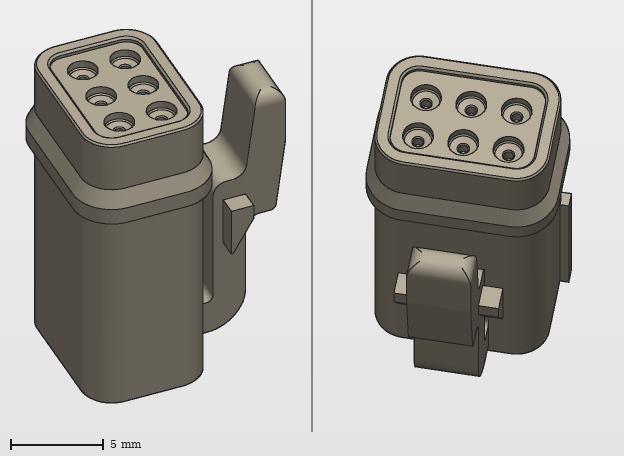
import cadquery as cq
import math

HEIGHT = 17.7
OVERALL_Y = 13.1
BODY_X = 9.6
BODY_Y = 7.06
BODY_RADIUS = 1.8
END_CHAMFER = 0.1

COLLAR_OVERHANG = 0.48
COLLAR_BOTTOM = 12.7
COLLAR_STRAIGHT = 1.0
COLLAR_TAPER = 1.0

RIM_WALL = 0.7
RECESS_DEPTH = 0.3
RECESS_CHAMFER = 0.12
RECESS_CHAMFER_ANGLE = 45

COLUMNS = 3
ROWS = 2
PITCH = 2.5
CAVITY_CENTRE_Y = 0.2
BORE_RADIUS = 0.83
BORE_DEPTH = 0.45
LEDGE_DROP = 0.07
FUNNEL_RADIUS = 0.75
FUNNEL_DEPTH = 0.09
THROAT_RADIUS = 0.34
PIN_HOLE_RADIUS = 0.27
PIN_HOLE_DEPTH = 0.7

RAIL_BACK_Y = -1.61
RAIL_WIDTH = 0.81
RAIL_HEIGHT = 7.72

LATCH_WIDTH = 3.54
ARM_INNER_Y = 4.8
ARM_OUTER_Y = 6.73
FOOT_BOTTOM = 0.8
FOOT_TOP = 2.83
STEP_BOTTOM = 8.02
STEP_TOP = 10.8
LEVER_OUTER_Y = OVERALL_Y - BODY_Y / 2 - COLLAR_OVERHANG
LEVER_BEND_Z = 12.57
LEVER_TOP = 15.98
LEVER_LEAN_ANGLE = 7.5
TIP_THICKNESS = 1.82
TIP_RADIUS = 0.8
FOOT_RADIUS = 0.34
ELBOW_INNER_RADIUS = 0.4
ELBOW_OUTER_RADIUS = 2.3
STEP_INNER_RADIUS = 0.85
STEP_OUTER_RADIUS = 0.8
LEVER_HEEL_RADIUS = 0.35

WING_SPAN = 5.77
WING_INNER_Y = 5.4
WING_TOP = 9.58
WING_SHOULDER = 8.69
WING_BOTTOM = 6.65
WING_TIP = 0.1


def rounded_box(size_x, size_y, radius, start_z, height, taper=0):
    """Box on the Z axis with rounded upright edges, narrowing away from start_z by the taper angle."""
    outline = cq.Sketch().rect(size_x, size_y).vertices().fillet(radius)
    return cq.Workplane("XY", origin=(0, 0, start_z)).placeSketch(outline).extrude(height, taper=taper)


def make_housing():
    body = rounded_box(BODY_X, BODY_Y, BODY_RADIUS, 0, HEIGHT)
    return body.faces("<Z or >Z").chamfer(END_CHAMFER)


def make_collar():
    size_x = BODY_X + 2 * COLLAR_OVERHANG
    size_y = BODY_Y + 2 * COLLAR_OVERHANG
    radius = BODY_RADIUS + COLLAR_OVERHANG
    taper_angle = math.degrees(math.atan2(COLLAR_OVERHANG, COLLAR_TAPER))
    taper_bottom = COLLAR_BOTTOM + COLLAR_STRAIGHT
    band = rounded_box(size_x, size_y, radius, COLLAR_BOTTOM, COLLAR_STRAIGHT)
    return band.union(rounded_box(size_x, size_y, radius, taper_bottom, COLLAR_TAPER, taper_angle))


def make_rail():
    """Rail standing out as far as the collar, rooted inside the housing."""
    outer_x = -BODY_X / 2 - COLLAR_OVERHANG
    root_x = -BODY_X / 2 + BODY_RADIUS / 2
    rail = cq.Workplane("XY").box(root_x - outer_x, RAIL_WIDTH, RAIL_HEIGHT, centered=False)
    return rail.translate((outer_x, RAIL_BACK_Y - RAIL_WIDTH, 0))


def make_latch():
    lean = math.tan(math.radians(LEVER_LEAN_ANGLE))
    heel_y = LEVER_OUTER_Y - lean * (LEVER_BEND_Z - STEP_BOTTOM)
    tip_y = LEVER_OUTER_Y - TIP_THICKNESS
    shoulder_z = LEVER_TOP - TIP_RADIUS
    throat_y = tip_y - lean * (shoulder_z - STEP_TOP)
    root_y = BODY_Y / 2
    flare_y = root_y + FOOT_RADIUS
    latch = (
        cq.Workplane("YZ")
        .moveTo(0, FOOT_BOTTOM - FOOT_RADIUS)
        .lineTo(root_y, FOOT_BOTTOM - FOOT_RADIUS)
        .radiusArc((flare_y, FOOT_BOTTOM), FOOT_RADIUS)
        .lineTo(ARM_OUTER_Y, FOOT_BOTTOM)
        .lineTo(ARM_OUTER_Y, STEP_BOTTOM)
        .lineTo(heel_y, STEP_BOTTOM)
        .lineTo(LEVER_OUTER_Y, LEVER_BEND_Z)
        .lineTo(LEVER_OUTER_Y, shoulder_z)
        .lineTo(tip_y, shoulder_z)
        .lineTo(throat_y, STEP_TOP)
        .lineTo(ARM_INNER_Y, STEP_TOP)
        .lineTo(ARM_INNER_Y, FOOT_TOP)
        .lineTo(flare_y, FOOT_TOP)
        .radiusArc((root_y, FOOT_TOP + FOOT_RADIUS), FOOT_RADIUS)
        .lineTo(0, FOOT_TOP + FOOT_RADIUS)
        .close()
        .extrude(LATCH_WIDTH / 2, both=True)
    )
    rounded_corners = [
        (ARM_OUTER_Y, FOOT_BOTTOM, ELBOW_OUTER_RADIUS),
        (ARM_OUTER_Y, STEP_BOTTOM, STEP_INNER_RADIUS),
        (heel_y, STEP_BOTTOM, LEVER_HEEL_RADIUS),
        (throat_y, STEP_TOP, STEP_INNER_RADIUS),
        (ARM_INNER_Y, STEP_TOP, STEP_OUTER_RADIUS),
        (ARM_INNER_Y, FOOT_TOP, ELBOW_INNER_RADIUS),
    ]
    for y, z, radius in rounded_corners:
        latch = latch.edges(cq.NearestToPointSelector((0, y, z))).fillet(radius)
    return latch.union(make_tip())


def make_tip():
    """Cap of the lever, rounded on all four sides; its lower part lies inside the lever."""
    tip_height = 2 * TIP_RADIUS
    tip = cq.Workplane("XY").box(LATCH_WIDTH, TIP_THICKNESS, tip_height)
    tip = tip.faces(">Z").edges().fillet(TIP_RADIUS)
    return tip.translate((0, LEVER_OUTER_Y - TIP_THICKNESS / 2, LEVER_TOP - tip_height / 2))


def make_wings():
    outline = [
        (WING_INNER_Y, WING_TOP),
        (ARM_OUTER_Y, WING_TOP),
        (ARM_OUTER_Y, WING_SHOULDER),
        (WING_INNER_Y + WING_TIP, WING_BOTTOM),
        (WING_INNER_Y, WING_BOTTOM),
    ]
    return cq.Workplane("YZ").polyline(outline).close().extrude(WING_SPAN / 2, both=True)


def make_recess():
    size_x = BODY_X - 2 * RIM_WALL
    size_y = BODY_Y - 2 * RIM_WALL
    mouth_radius = BODY_RADIUS - RIM_WALL
    recess = rounded_box(
        size_x - 2 * RECESS_CHAMFER,
        size_y - 2 * RECESS_CHAMFER,
        mouth_radius - RECESS_CHAMFER,
        HEIGHT - RECESS_DEPTH,
        RECESS_DEPTH,
    )
    mouth = rounded_box(size_x, size_y, mouth_radius, HEIGHT, -RECESS_CHAMFER, RECESS_CHAMFER_ANGLE)
    return recess.union(mouth)


def make_cavity():
    """Stepped hole turned about Z, with its mouth at Z = 0."""
    funnel_mouth = -BORE_DEPTH - LEDGE_DROP
    throat = funnel_mouth - FUNNEL_DEPTH
    lip = THROAT_RADIUS - PIN_HOLE_RADIUS
    end = throat - PIN_HOLE_DEPTH
    outline = [
        (0, 0),
        (BORE_RADIUS, 0),
        (BORE_RADIUS, -BORE_DEPTH),
        (FUNNEL_RADIUS, funnel_mouth),
        (THROAT_RADIUS, throat),
        (PIN_HOLE_RADIUS, throat - lip),
        (PIN_HOLE_RADIUS, end),
        (0, end),
    ]
    return cq.Workplane("XZ").polyline(outline).close().revolve(360, (0, 0, 0), (0, 1, 0))


connector = make_housing()
for addition in (make_collar(), make_rail(), make_latch(), make_wings()):
    connector = connector.union(addition)
connector = connector.cut(make_recess())

cavity = make_cavity()
for column in range(COLUMNS):
    for row in range(ROWS):
        cavity_x = (column - (COLUMNS - 1) / 2) * PITCH
        cavity_y = (row - (ROWS - 1) / 2) * PITCH + CAVITY_CENTRE_Y
        connector = connector.cut(cavity.translate((cavity_x, cavity_y, HEIGHT - RECESS_DEPTH)))

result = connector